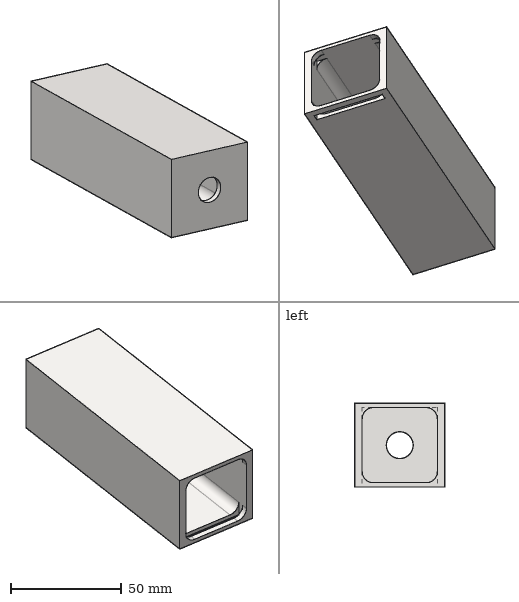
import cadquery as cq

length = 118.0
width = 41.0
height = 38.0

cavity_side = 34.0
corner_radius = 5.0
end_wall = 3.0

lip_thickness = 3.0
slot_thickness = 3.0

hole_diameter = 12.0


def outer_block():
    return cq.Workplane("XY").box(length, width, height)


def cavity():
    depth = length - end_wall
    return (
        cq.Workplane("XY")
        .box(depth, cavity_side, cavity_side)
        .edges("|X")
        .fillet(corner_radius)
        .translate((-end_wall / 2, 0, 0))
    )


def cover_slot():
    slot_height = (height + cavity_side) / 2
    center_x = -length / 2 + lip_thickness + slot_thickness / 2
    center_z = (cavity_side - height) / 4
    return (
        cq.Workplane("XY")
        .box(slot_thickness, cavity_side, slot_height)
        .translate((center_x, 0, center_z))
    )


def end_hole():
    return cq.Workplane("YZ").circle(hole_diameter / 2).extrude(length / 2)


result = outer_block().cut(cavity()).cut(cover_slot()).cut(end_hole())